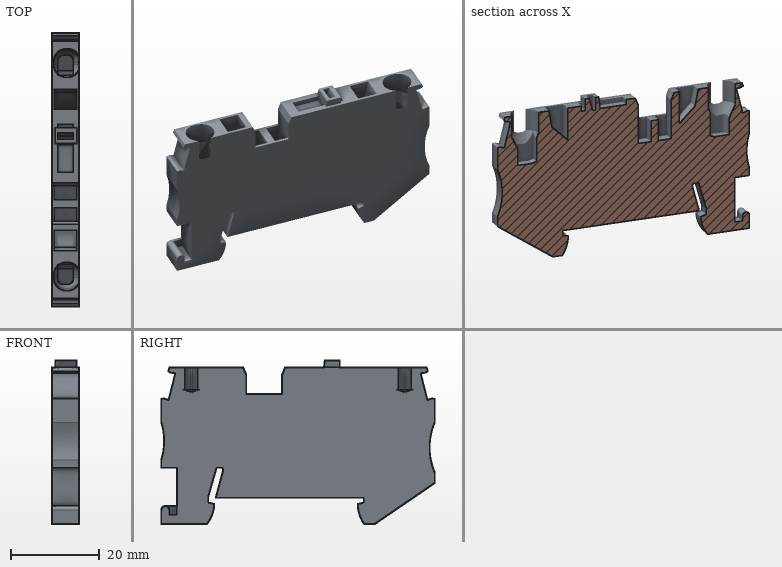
import cadquery as cq
import math

THICKNESS = 6.15
HALF_LENGTH = 61.5 / 2
TOTAL_HEIGHT = 36.85
BODY_HEIGHT = 35.25
HALF_THICKNESS = THICKNESS / 2

LIP_TOP_Y = 28.9
LIP_TIP_Y = 29.2
LIP_TIP_Z = 34.4
LIP_BOTTOM_Y = 28.7
LIP_BOTTOM_Z = 34.05
GROOVE_TOP_Y = 27.6
GROOVE_TOP_Z = 33.9
GROOVE_BOTTOM_Y = 29.1
GROOVE_BOTTOM_Z = 27.95
LEDGE_CREST_Y = 30.15
LEDGE_CREST_Z = 28.3
LEDGE_EDGE_Z = 28.2

HOLLOW_TOP_Z = 22.9
BACK_HOLLOW_BOTTOM_Z = 11.6
BACK_HOLLOW_DEPTH = 1.15
FRONT_HOLLOW_BOTTOM_Z = 14.5
FRONT_HOLLOW_DEPTH = 0.65

SLOT_BACK_Y = -3.6
SLOT_FRONT_Y = -11.6
SLOT_FLOOR_Z = 29.3
SLOT_BEVEL_WIDTH = 0.7
SLOT_BEVEL_HEIGHT = 1.7

SLOPE_TOP_Z = 9.25
SLOPE_FOOT_Y = 17.2
RAIL_SEAT_Z = 5.95
CLAW_ROOT_Z = 4.9
CLAW_TIP_Z = 4.55
CLAW_CURVE_MID_Z = 2.3
BACK_CLAW_ROOT_Y = 14.75
BACK_CLAW_TIP_Y = 13.4
BACK_CLAW_MID_Y = 13.75
BACK_CLAW_FOOT_Y = 14.9
FRONT_CLAW_ROOT_Y = -20.15
FRONT_CLAW_TIP_Y = -18.8
FRONT_CLAW_MID_Y = -19.2
FRONT_CLAW_FOOT_Y = -20.5
SPRING_SLIT_SEAT_Y = -18.5
SPRING_SLIT_SHOULDER_Y = -16.8
SPRING_SLIT_SHOULDER_Z = 12.3
SPRING_SLIT_TOP_BACK_Y = -17.05
SPRING_SLIT_TOP_FRONT_Y = -18.3
SPRING_SLIT_ROOT_Z = 6.2
RELEASE_NOTCH_Y = -27.2
RELEASE_NOTCH_TOP_Z = 12.65
RELEASE_NOTCH_BOTTOM_Z = 4.1
TOE_RADIUS = 0.9

TROUGH_WALL = 0.65
TROUGH_DEPTH = 2.0

ENTRY_X = 0.31
ENTRY_Y = 24.0
ENTRY_RADIUS = 3.0
ENTRY_STRAIGHT = 0.5
ENTRY_DEPTH = 5.0
FUNNEL_END_RADIUS = 1.65
FUNNEL_DEPTH = 3.0
BORE_WIDTH = 3.55
BORE_OUTER_Y = 25.75
BORE_INNER_Y = 21.25
BORE_RAMP_Y = 22.2
BORE_RAMP_HEIGHT = 0.33
BORE_DEPTH = 7.0
BORE_CORNER_RADIUS = 1.3

POCKET_WIDTH = 5.0
POCKET_INNER_Y = 13.65
POCKET_OUTER_Y = 18.15
POCKET_BREAK_Y = 17.4
POCKET_BREAK_DEPTH = 4.0
POCKET_DEPTH = 7.6

BRIDGE_POCKET_LENGTH = 3.1
BRIDGE_POCKET_DEPTH = 5.0

SLIDER_MIN_X = -2.35
SLIDER_MAX_X = 2.5
SLIDER_FRONT_TOP_Y = 6.0
SLIDER_FRONT_BASE_Y = 5.65
SLIDER_BACK_Y = 9.4
SLIDER_SLOT_BACK_Y = 8.35
SLIDER_SLOT_BREAK_Y = 7.45
SLIDER_SLOT_FRONT_Y = 6.85
SLIDER_SLOT_DEPTH = 3.0
RECESS_WIDTH = 3.55
RECESS_DEPTH = 1.2
RECESS_FRONT_Y = -0.6
RECESS_BACK_Y = 10.2


def extrude_yz(outline, width):
    """Extrude a closed YZ outline symmetrically about X = 0."""
    return outline.close().extrude(width / 2, both=True)


def polygon_yz(points, width):
    return extrude_yz(cq.Workplane("YZ").polyline(points), width)


def centred_box(width, y_range, z_range):
    """Box centred on X = 0 that fills the given Y and Z ranges."""
    length = y_range[1] - y_range[0]
    height = z_range[1] - z_range[0]
    box = cq.Workplane("XY").box(width, length, height, centered=(True, False, False))
    return box.translate((0, y_range[0], z_range[0]))


def mirrored_pair(shape):
    return shape.union(shape.mirror("XZ"))


def end_edge_points():
    """Points of the +Y lip and marker groove, from the top face down to the end face."""
    return [
        (LIP_TOP_Y, BODY_HEIGHT),
        (LIP_TIP_Y, LIP_TIP_Z),
        (LIP_BOTTOM_Y, LIP_BOTTOM_Z),
        (GROOVE_TOP_Y, GROOVE_TOP_Z),
        (GROOVE_BOTTOM_Y, GROOVE_BOTTOM_Z),
        (LEDGE_CREST_Y, LEDGE_CREST_Z),
        (HALF_LENGTH, LEDGE_EDGE_Z),
    ]


def make_body():
    bevel_z = BODY_HEIGHT - SLOT_BEVEL_HEIGHT
    back_edge = end_edge_points()
    front_edge = [(-y, z) for y, z in reversed(back_edge)]
    back_hollow_mid = (HALF_LENGTH - BACK_HOLLOW_DEPTH, (HOLLOW_TOP_Z + BACK_HOLLOW_BOTTOM_Z) / 2)
    front_hollow_mid = (FRONT_HOLLOW_DEPTH - HALF_LENGTH, (HOLLOW_TOP_Z + FRONT_HOLLOW_BOTTOM_Z) / 2)
    toe_mid_offset = TOE_RADIUS * (1 - math.sqrt(0.5))

    outline = cq.Workplane("YZ").moveTo(*back_edge[0])
    for point in back_edge[1:]:
        outline = outline.lineTo(*point)
    outline = (
        outline
        .lineTo(HALF_LENGTH, HOLLOW_TOP_Z)
        .threePointArc(back_hollow_mid, (HALF_LENGTH, BACK_HOLLOW_BOTTOM_Z))
        .lineTo(HALF_LENGTH, SLOPE_TOP_Z)
        .lineTo(SLOPE_FOOT_Y, 0)
        .lineTo(BACK_CLAW_FOOT_Y, 0)
        .threePointArc((BACK_CLAW_MID_Y, CLAW_CURVE_MID_Z), (BACK_CLAW_TIP_Y, CLAW_TIP_Z))
        .lineTo(BACK_CLAW_ROOT_Y, CLAW_ROOT_Z)
        .lineTo(BACK_CLAW_ROOT_Y, RAIL_SEAT_Z)
        .lineTo(SPRING_SLIT_SEAT_Y, RAIL_SEAT_Z)
        .lineTo(SPRING_SLIT_SHOULDER_Y, SPRING_SLIT_SHOULDER_Z)
        .lineTo(SPRING_SLIT_TOP_BACK_Y, RELEASE_NOTCH_TOP_Z)
        .lineTo(SPRING_SLIT_TOP_FRONT_Y, RELEASE_NOTCH_TOP_Z)
        .lineTo(FRONT_CLAW_ROOT_Y, SPRING_SLIT_ROOT_Z)
        .lineTo(FRONT_CLAW_ROOT_Y, CLAW_ROOT_Z)
        .lineTo(FRONT_CLAW_TIP_Y, CLAW_TIP_Z)
        .threePointArc((FRONT_CLAW_MID_Y, CLAW_CURVE_MID_Z), (FRONT_CLAW_FOOT_Y, 0))
        .lineTo(-HALF_LENGTH, 0)
        .lineTo(-HALF_LENGTH, RELEASE_NOTCH_BOTTOM_Z - TOE_RADIUS)
        .threePointArc(
            (toe_mid_offset - HALF_LENGTH, RELEASE_NOTCH_BOTTOM_Z - toe_mid_offset),
            (TOE_RADIUS - HALF_LENGTH, RELEASE_NOTCH_BOTTOM_Z),
        )
        .lineTo(RELEASE_NOTCH_Y, RELEASE_NOTCH_BOTTOM_Z)
        .lineTo(RELEASE_NOTCH_Y, RELEASE_NOTCH_TOP_Z)
        .lineTo(-HALF_LENGTH, RELEASE_NOTCH_TOP_Z)
        .lineTo(-HALF_LENGTH, FRONT_HOLLOW_BOTTOM_Z)
        .threePointArc(front_hollow_mid, (-HALF_LENGTH, HOLLOW_TOP_Z))
    )
    for point in front_edge:
        outline = outline.lineTo(*point)
    outline = (
        outline
        .lineTo(SLOT_FRONT_Y - SLOT_BEVEL_WIDTH, BODY_HEIGHT)
        .lineTo(SLOT_FRONT_Y, bevel_z)
        .lineTo(SLOT_FRONT_Y, SLOT_FLOOR_Z)
        .lineTo(SLOT_BACK_Y, SLOT_FLOOR_Z)
        .lineTo(SLOT_BACK_Y, bevel_z)
        .lineTo(SLOT_BACK_Y + SLOT_BEVEL_WIDTH, BODY_HEIGHT)
    )
    return extrude_yz(outline, THICKNESS)


def make_toe_trough():
    """Trough that leaves a half-round ridge along the toe and a thin wall on the -X side."""
    top_z = RELEASE_NOTCH_BOTTOM_Z
    floor_z = top_z - TROUGH_DEPTH
    ridge_y = TOE_RADIUS - HALF_LENGTH
    ridge_back_y = ridge_y + TOE_RADIUS
    arc_offset = TOE_RADIUS * math.sqrt(0.5)
    outline = (
        cq.Workplane("YZ", origin=(TROUGH_WALL - HALF_THICKNESS, 0, 0))
        .moveTo(ridge_y, top_z)
        .threePointArc(
            (ridge_y + arc_offset, top_z - TOE_RADIUS + arc_offset),
            (ridge_back_y, top_z - TOE_RADIUS),
        )
        .lineTo(ridge_back_y, floor_z)
        .lineTo(RELEASE_NOTCH_Y, floor_z)
        .lineTo(RELEASE_NOTCH_Y, top_z)
    )
    return outline.close().extrude(THICKNESS - TROUGH_WALL)


def make_wire_entry():
    """Obround entry that funnels down into a narrower bore with a small ramp on its floor."""
    funnel_top_z = BODY_HEIGHT - ENTRY_DEPTH
    bore_floor_z = funnel_top_z - BORE_DEPTH
    entry_length = ENTRY_STRAIGHT + 2 * ENTRY_RADIUS
    funnel_end_length = ENTRY_STRAIGHT + 2 * FUNNEL_END_RADIUS
    funnel_end_y = BORE_OUTER_Y - funnel_end_length / 2

    mouth_plane = cq.Workplane("XY", origin=(ENTRY_X, ENTRY_Y, funnel_top_z))
    entry = mouth_plane.slot2D(entry_length, 2 * ENTRY_RADIUS, 90).extrude(ENTRY_DEPTH)
    funnel = (
        mouth_plane.slot2D(entry_length, 2 * ENTRY_RADIUS, 90)
        .workplane(offset=-FUNNEL_DEPTH)
        .center(-ENTRY_X, funnel_end_y - ENTRY_Y)
        .slot2D(funnel_end_length, 2 * FUNNEL_END_RADIUS, 90)
        .loft(ruled=True)
    )
    bore_points = [
        (BORE_INNER_Y, funnel_top_z),
        (BORE_OUTER_Y, funnel_top_z),
        (BORE_OUTER_Y, bore_floor_z),
        (BORE_RAMP_Y, bore_floor_z),
        (BORE_INNER_Y, bore_floor_z + BORE_RAMP_HEIGHT),
    ]
    bore = polygon_yz(bore_points, BORE_WIDTH).edges("|Z and >Y").fillet(BORE_CORNER_RADIUS)
    return entry.union(funnel).union(bore)


def make_screwdriver_pocket():
    """Tapered pocket: the outer wall leans in, gently at first and then more."""
    points = [
        (POCKET_INNER_Y, BODY_HEIGHT),
        (POCKET_OUTER_Y, BODY_HEIGHT),
        (POCKET_BREAK_Y, BODY_HEIGHT - POCKET_BREAK_DEPTH),
        (POCKET_INNER_Y, BODY_HEIGHT - POCKET_DEPTH),
    ]
    return polygon_yz(points, POCKET_WIDTH)


def make_bridge_pockets():
    z_range = (SLOT_FLOOR_Z - BRIDGE_POCKET_DEPTH, SLOT_FLOOR_Z)
    back = centred_box(POCKET_WIDTH, (SLOT_BACK_Y - BRIDGE_POCKET_LENGTH, SLOT_BACK_Y), z_range)
    front = centred_box(POCKET_WIDTH, (SLOT_FRONT_Y, SLOT_FRONT_Y + BRIDGE_POCKET_LENGTH), z_range)
    return back.union(front)


def slider_front_y(z):
    """Y of the leaning slider front, which runs straight down to the recess floor."""
    base_z = BODY_HEIGHT - RECESS_DEPTH
    fraction = (z - base_z) / (TOTAL_HEIGHT - base_z)
    return SLIDER_FRONT_BASE_Y + fraction * (SLIDER_FRONT_TOP_Y - SLIDER_FRONT_BASE_Y)


def make_slider_recesses():
    floor_z = BODY_HEIGHT - RECESS_DEPTH
    front_points = [
        (RECESS_FRONT_Y, BODY_HEIGHT),
        (slider_front_y(BODY_HEIGHT), BODY_HEIGHT),
        (SLIDER_FRONT_BASE_Y, floor_z),
        (RECESS_FRONT_Y, floor_z),
    ]
    front = polygon_yz(front_points, RECESS_WIDTH)
    back = centred_box(RECESS_WIDTH, (SLIDER_BACK_Y, RECESS_BACK_Y), (floor_z, BODY_HEIGHT))
    return front.union(back)


def make_slider():
    points = [
        (slider_front_y(BODY_HEIGHT), BODY_HEIGHT),
        (SLIDER_BACK_Y, BODY_HEIGHT),
        (SLIDER_BACK_Y, TOTAL_HEIGHT),
        (SLIDER_FRONT_TOP_Y, TOTAL_HEIGHT),
    ]
    middle_x = (SLIDER_MIN_X + SLIDER_MAX_X) / 2
    return polygon_yz(points, SLIDER_MAX_X - SLIDER_MIN_X).translate((middle_x, 0, 0))


def make_slider_slot():
    """Screwdriver slot in the slider, with one sloping wall."""
    floor_z = TOTAL_HEIGHT - SLIDER_SLOT_DEPTH
    points = [
        (SLIDER_SLOT_FRONT_Y, TOTAL_HEIGHT),
        (SLIDER_SLOT_BACK_Y, TOTAL_HEIGHT),
        (SLIDER_SLOT_BREAK_Y, floor_z),
        (SLIDER_SLOT_FRONT_Y, floor_z),
    ]
    return polygon_yz(points, RECESS_WIDTH)


result = (
    make_body()
    .cut(make_toe_trough())
    .cut(mirrored_pair(make_wire_entry()))
    .cut(mirrored_pair(make_screwdriver_pocket()))
    .cut(make_bridge_pockets())
    .cut(make_slider_recesses())
    .union(make_slider())
    .cut(make_slider_slot())
)